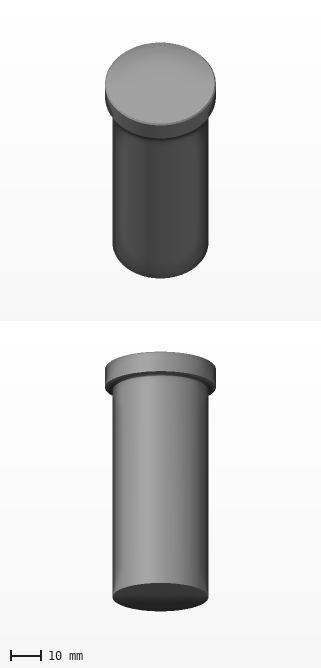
import cadquery as cq

total_height = 80.0
head_diameter = 37.0
head_height = 7.0
head_chamfer = 0.5
shank_diameter = 32.0

groove_depth = 0.5
groove_width = 1.0

head_radius = head_diameter / 2
shank_radius = shank_diameter / 2
groove_radius = shank_radius - groove_depth
head_bottom = total_height - head_height
groove_bottom = head_bottom - groove_width

half_profile = (
    cq.Workplane("XZ")
    .moveTo(0, 0)
    .lineTo(shank_radius, 0)
    .lineTo(shank_radius, groove_bottom)
    .lineTo(groove_radius, groove_bottom + groove_width / 2)
    .lineTo(shank_radius, head_bottom)
    .lineTo(head_radius, head_bottom)
    .lineTo(head_radius, total_height - head_chamfer)
    .lineTo(head_radius - head_chamfer, total_height)
    .lineTo(0, total_height)
    .close()
)

result = half_profile.revolve(360, (0, 0, 0), (0, 1, 0))